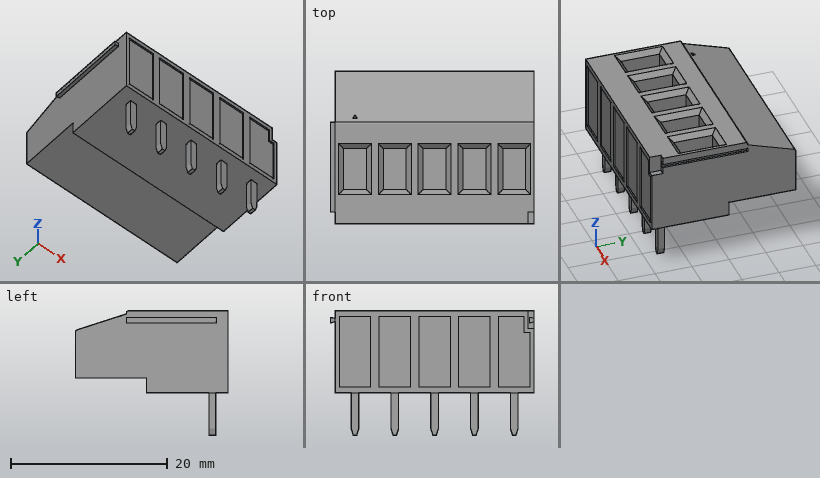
import cadquery as cq


pole_count = 5
pitch = 5.08
body_width = pole_count * pitch
pole_centers = [(index + 0.5) * pitch for index in range(pole_count)]

body_depth = 19.5
body_height = 10.5
foot_depth = 10.45
rear_underside = 1.9
rear_height = 8.0
shoulder_y = 13.0
shoulder_z = 10.1
shoulder_radius = 0.3
rear_radius = 0.35

plate_thickness = 1.5
notch_width = 0.8
notch_height = 2.3

panel_width = 4.0
panel_margin = 0.75
panel_recess = 0.2
panel_notch_gap = 0.5

rail_projection = 0.6
rail_bottom = 8.9
rail_height = 0.75
rail_root_bottom = 9.1
rail_root_top = 9.55

pocket_width = 4.2
pocket_length = 6.5
pocket_front = 3.75
pocket_depth = 6.0
funnel_size = 0.65
funnel_angle = 45

pin_width = 1.0
pin_thickness = 0.9
pin_center_y = 2.0
pin_length = 5.4
pin_tip_height = 0.85
pin_tip_width = 0.45

mark_width = 0.55
mark_length = 0.45
mark_base_y = 13.5
mark_depth = 0.1


def box(x, y, z, width, length, height):
    """Box given by its lowest corner and its sizes along X, Y and Z."""
    return cq.Workplane("XY").box(width, length, height, centered=False).translate((x, y, z))


def make_housing():
    """Full-width housing with a stepped underside and a sloped rear top."""
    profile = [
        (0, 0),
        (foot_depth, 0),
        (foot_depth, rear_underside),
        (body_depth, rear_underside),
        (body_depth, rear_height),
        (shoulder_y, shoulder_z),
        (shoulder_y, body_height),
        (0, body_height),
    ]
    housing = cq.Workplane("YZ").polyline(profile).close().extrude(body_width)
    shoulder_edge = cq.selectors.NearestToPointSelector((body_width / 2, shoulder_y, body_height))
    rear_edge = cq.selectors.NearestToPointSelector((body_width / 2, body_depth, rear_height))
    housing = housing.edges(shoulder_edge).fillet(shoulder_radius)
    return housing.edges(rear_edge).fillet(rear_radius)


def make_plate_notch():
    """Corner block removed from the front plate over its full thickness."""
    return box(
        body_width - notch_width,
        0,
        body_height - notch_height,
        notch_width,
        plate_thickness,
        notch_height,
    )


def make_front_panels():
    """Shallow recesses, the last one stepped around the plate notch."""
    panels = cq.Workplane("XY")
    panel_height = body_height - 2 * panel_margin
    for center in pole_centers:
        left = center - panel_width / 2
        panels = panels.add(box(left, 0, panel_margin, panel_width, panel_recess, panel_height))
    notch_border = make_plate_notch().translate((-panel_notch_gap, 0, -panel_notch_gap))
    return panels.combine().cut(notch_border)


def make_rail():
    """Rail with a dovetail section, wider at its outer face than at its root."""
    section = [
        (0, rail_root_bottom),
        (-rail_projection, rail_bottom),
        (-rail_projection, rail_bottom + rail_height),
        (0, rail_root_top),
    ]
    rail_length = shoulder_y - plate_thickness
    rail = cq.Workplane("XZ").polyline(section).close().extrude(-rail_length)
    return rail.translate((0, plate_thickness, 0))


def make_pocket(center):
    """Straight-walled pocket with a tapered funnel at its mouth."""
    mouth_plane = cq.Workplane("XY", origin=(center, pocket_front + pocket_length / 2, body_height))
    funnel = mouth_plane.rect(pocket_width, pocket_length).extrude(-funnel_size, taper=funnel_angle)
    throat_width = pocket_width - 2 * funnel_size
    throat_length = pocket_length - 2 * funnel_size
    throat = mouth_plane.rect(throat_width, throat_length).extrude(-pocket_depth)
    return funnel.union(throat)


def make_pin(center):
    """Flat pin whose tip narrows across its width."""
    outline = [
        (-pin_width / 2, 0),
        (-pin_width / 2, pin_tip_height - pin_length),
        (-pin_tip_width / 2, -pin_length),
        (pin_tip_width / 2, -pin_length),
        (pin_width / 2, pin_tip_height - pin_length),
        (pin_width / 2, 0),
    ]
    pin = cq.Workplane("XZ").polyline(outline).close().extrude(pin_thickness / 2, both=True)
    return pin.translate((center, pin_center_y, 0))


def make_mark():
    """Triangular prism reaching just below the rear slope, pointing to the rear."""
    slope = (shoulder_z - rear_height) / (body_depth - shoulder_y)
    base_z = shoulder_z - slope * (mark_base_y - shoulder_y)
    triangle = [(-mark_width / 2, 0), (mark_width / 2, 0), (0, mark_length)]
    slope_plane = cq.Plane(
        origin=(pole_centers[0], mark_base_y, base_z),
        xDir=(1, 0, 0),
        normal=(0, slope, 1),
    )
    return cq.Workplane(slope_plane).polyline(triangle).close().extrude(-mark_depth)


housing = make_housing()
rail = make_rail()
result = housing.cut(make_plate_notch()).cut(make_front_panels()).cut(make_mark())
result = result.union(rail).cut(rail.translate((body_width, 0, 0)))
for pole_center in pole_centers:
    result = result.cut(make_pocket(pole_center)).union(make_pin(pole_center))